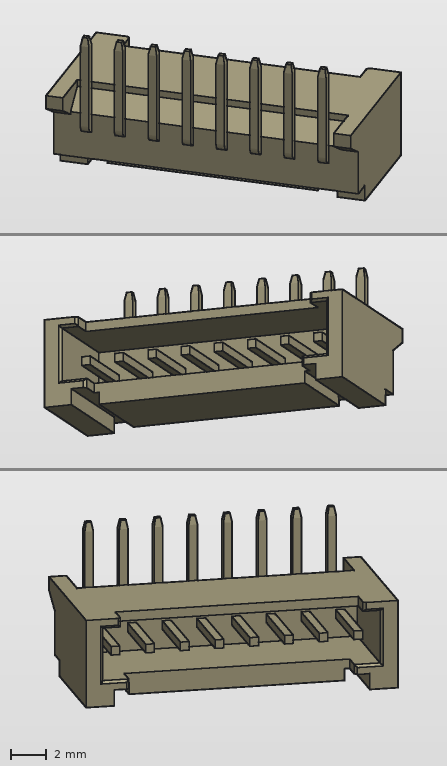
import cadquery as cq


length = 17.98
body_depth = 7.8
body_height = 5.1
foot_height = 0.93
foot_width = 1.62
step_depth = 1.2

wall = 0.55
end_wall = 1.0
rear_wall = 2.0
lead_in = 0.15

top_notch_width = 14.0
bottom_notch_width = 13.0
notch_depth = 1.3

ear_width = 1.0
ear_reach = 1.4
ear_tip_height = 0.8
ear_root_height = 1.6
relief_depth = 1.23
relief_lip = 0.4
relief_height = 1.44

rib_width = 12.42
rib_height = 0.69
rib_slope_run = 0.2

pin_count = 8
pin_pitch = 2.0
pin_size = 0.5
pin_tip_size = 0.3
pin_bend_radius = 0.5
pin_taper = 0.5
pin_top = 8.5
pin_bottom = 2.6

half_length = length / 2
floor_top = foot_height + wall
roof_bottom = body_height - wall
cavity_length = length - 2 * end_wall
cavity_height = roof_bottom - floor_top
notch_start = body_depth - notch_depth


def box(x_size, y_start, y_end, z_start, z_end):
    """Block centred on X = 0."""
    return cq.Workplane("XY").box(
        x_size, y_end - y_start, z_end - z_start, centered=(True, False, False)
    ).translate((0, y_start, z_start))


def prism(points, x_start, x_end):
    """Extrude a closed (Y, Z) outline along X."""
    profile = cq.Workplane("YZ").workplane(offset=x_start).polyline(points).close()
    return profile.extrude(x_end - x_start)


def make_housing():
    """Side outline with ears and a stepped underside, opened between the ears and the feet."""
    outline = [
        (-ear_reach, body_height),
        (-ear_reach, body_height - ear_tip_height),
        (0, body_height - ear_root_height),
        (0, foot_height),
        (step_depth, foot_height),
        (step_depth, 0),
        (body_depth, 0),
        (body_depth, body_height),
    ]
    housing = prism(outline, -half_length, half_length)
    between_ears = length - 2 * ear_width
    between_feet = length - 2 * foot_width
    housing = housing.cut(box(between_ears, -ear_reach, 0, 0, body_height))
    return housing.cut(box(between_feet, 0, body_depth, 0, foot_height))


def make_relief():
    """Sloped pocket in the rear top edge, between the ears."""
    outline = [
        (0, body_height),
        (0, body_height - relief_height),
        (relief_depth, body_height - relief_lip),
        (relief_depth, body_height),
    ]
    return prism(outline, -half_length + ear_width, half_length - ear_width)


def make_cavity():
    """Rectangular mating cavity with a flared mouth."""
    cavity = box(cavity_length, rear_wall, body_depth, floor_top, roof_bottom)
    flare = (
        cq.Workplane("XZ", origin=(0, body_depth, (floor_top + roof_bottom) / 2))
        .rect(cavity_length + 2 * lead_in, cavity_height + 2 * lead_in)
        .workplane(offset=lead_in)
        .rect(cavity_length, cavity_height)
        .loft(ruled=True)
    )
    return cavity.union(flare)


def make_notch(width, z_start, z_end):
    """Mouth notch through one wall, with its two outer corners bevelled."""
    half_width = width / 2
    outline = [
        (-half_width, notch_start),
        (half_width, notch_start),
        (half_width, body_depth - lead_in),
        (half_width + lead_in, body_depth),
        (-half_width - lead_in, body_depth),
        (-half_width, body_depth - lead_in),
    ]
    profile = cq.Workplane("XY").workplane(offset=z_start).polyline(outline).close()
    return profile.extrude(z_end - z_start)


def make_rib():
    """Catch rib under the floor; its rear face slopes toward the mouth as it rises."""
    rib_bottom = foot_height - rib_height
    outline = [
        (step_depth, rib_bottom),
        (step_depth + rib_slope_run, foot_height),
        (notch_start, foot_height),
        (notch_start, rib_bottom),
    ]
    return prism(outline, -rib_width / 2, rib_width / 2)


def make_pin():
    """Square pin: a leg into the cavity, a rounded bend, and an upright with a tapered tip."""
    shoulder = pin_top - pin_taper
    leg = box(pin_size, -pin_size, notch_start, pin_bottom, pin_bottom + pin_size)
    upright = box(pin_size, -pin_size, 0, pin_bottom, shoulder)
    bar = leg.union(upright)
    bend_edge = cq.selectors.NearestToPointSelector((0, -pin_size, pin_bottom))
    bar = bar.edges("|X").edges(bend_edge).fillet(pin_bend_radius)
    tip = (
        cq.Workplane("XY", origin=(0, -pin_size / 2, shoulder))
        .rect(pin_size, pin_size)
        .workplane(offset=pin_taper)
        .rect(pin_tip_size, pin_tip_size)
        .loft(ruled=True)
    )
    return bar.union(tip)


result = make_housing().cut(make_relief()).cut(make_cavity())
result = result.cut(make_notch(top_notch_width, roof_bottom, body_height))
result = result.cut(make_notch(bottom_notch_width, foot_height, floor_top))
result = result.union(make_rib())

pin = make_pin()
for index in range(pin_count):
    pin_x = (index - (pin_count - 1) / 2) * pin_pitch
    result = result.union(pin.translate((pin_x, 0, 0)))